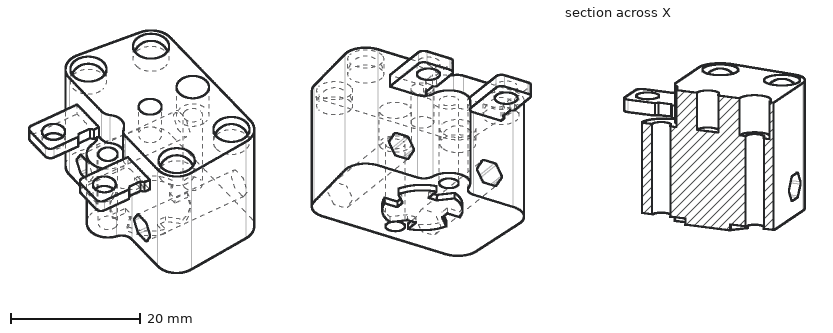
import cadquery as cq
import math


overall_width = 31.75
body_depth = 18.03
body_height = 20.7
corner_radius = 3.55
back_width = 29.52
front_corner_x = overall_width / 2 - corner_radius
back_corner_x = back_width / 2 - corner_radius
front_corner_y = corner_radius
back_corner_y = body_depth - corner_radius
corners = [
    (-front_corner_x, front_corner_y),
    (front_corner_x, front_corner_y),
    (back_corner_x, back_corner_y),
    (-back_corner_x, back_corner_y),
]

boss_top = 14.7
screw_hole_diameter = 3.0
counterbore_diameter = 5.0
front_screw_y = -1.0
back_screw_y = 14.75
boss_radius = 3.3
blend_radius = 1.9
counterbore_depth = body_height - boss_top

dome_radius = 5.6 / 2
dome_rise = 0.1

disc_y = 6.82
blind_hole_diameter = 3.55
blind_hole_depth = counterbore_depth
disc_radius = 6.22
disc_thickness = 0.98
notch_count = 4
notch_wall_x = -1.2
notch_floor_end = 0.32
notch_floor = 3.8

hex_x = 8.0
hex_z = 4.75
hex_flats = 4.03
hex_corner_radius = 0.38

tab_x = 7.08
tab_width = 6.13
tab_length = 9.35
tab_thickness = 2.03
tab_corner_radius = 0.95
tab_hole_diameter = 3.55
tab_hole_y = -6.4
tab_notch_depth = 0.5
tab_notch_start = -0.95
tab_notch_end = -3.87
tab_notch_slope = 0.4


def blended_round(radius, side):
    """Outline of a round about the front screw that flows into the front face on two blends.

    side is -1 for a round standing out of the body and +1 for one cut into it.
    """
    blend_y = side * blend_radius
    rise = blend_y - front_screw_y
    reach = radius + blend_radius
    blend_x = math.sqrt(reach**2 - rise**2)
    tangent_x = blend_x * radius / reach
    tangent_y = front_screw_y + rise * radius / reach
    return (
        cq.Workplane("XY")
        .moveTo(-blend_x, 0)
        .radiusArc((-tangent_x, tangent_y), -side * blend_radius)
        .threePointArc((0, front_screw_y + side * radius), (tangent_x, tangent_y))
        .radiusArc((blend_x, 0), -side * blend_radius)
        .close()
    )


def make_body():
    block = cq.Workplane("XY").polyline(corners).close().offset2D(corner_radius).extrude(body_height)
    boss = blended_round(boss_radius, -1).extrude(boss_top)
    recess = blended_round(counterbore_diameter / 2, 1).extrude(counterbore_depth)
    return block.union(boss).cut(recess.translate((0, 0, boss_top)))


def make_top_holes():
    screws = (
        cq.Workplane("XY")
        .pushPoints([(0, front_screw_y), (0, back_screw_y)])
        .circle(screw_hole_diameter / 2)
        .extrude(body_height)
    )
    counterbore = (
        cq.Workplane("XY", origin=(0, back_screw_y, body_height))
        .circle(counterbore_diameter / 2)
        .extrude(-counterbore_depth)
    )
    blind_hole = (
        cq.Workplane("XY", origin=(0, disc_y, body_height))
        .circle(blind_hole_diameter / 2)
        .extrude(-blind_hole_depth)
    )
    return screws.union(counterbore).union(blind_hole)


def make_dome_pockets():
    return (
        cq.Workplane("XY", origin=(0, 0, body_height))
        .pushPoints(corners)
        .circle(dome_radius)
        .extrude(dome_rise - dome_radius)
    )


def make_domes():
    dome = cq.Workplane("XY").sphere(dome_radius, angle1=0, angle2=90)
    base_z = body_height + dome_rise - dome_radius
    domes = cq.Workplane("XY")
    for x, y in corners:
        domes = domes.union(dome.translate((x, y, base_z)))
    return domes


def make_hex_holes():
    return (
        cq.Workplane("XZ", origin=(0, body_depth, 0))
        .pushPoints([(-hex_x, hex_z), (hex_x, hex_z)])
        .polygon(6, hex_flats * 2 / math.sqrt(3))
        .extrude(body_depth)
        .edges("|Y")
        .fillet(hex_corner_radius)
    )


def make_disc():
    disc = cq.Workplane("XY").circle(disc_radius).extrude(-disc_thickness)
    notch_depth = disc_radius - notch_floor
    notch = (
        cq.Workplane("XY")
        .moveTo(notch_wall_x, -notch_floor)
        .lineTo(notch_floor_end, -notch_floor)
        .lineTo(notch_floor_end + notch_depth, -disc_radius)
        .lineTo(notch_wall_x, -disc_radius)
        .close()
        .extrude(-disc_thickness)
    )
    for i in range(notch_count):
        disc = disc.cut(notch.rotate((0, 0, 0), (0, 0, 1), i * 360 / notch_count))
    return disc.translate((0, disc_y, 0))


def make_tab(center_x):
    right = tab_width / 2
    plate = (
        cq.Workplane("XY")
        .rect(tab_width, tab_length)
        .extrude(tab_thickness)
        .edges("|Z and <Y")
        .fillet(tab_corner_radius)
        .translate((0, -tab_length / 2, 0))
    )
    notch = (
        cq.Workplane("XY")
        .moveTo(right, tab_notch_start)
        .lineTo(right - tab_notch_depth, tab_notch_start - tab_notch_slope)
        .lineTo(right - tab_notch_depth, tab_notch_end + tab_notch_slope)
        .lineTo(right, tab_notch_end)
        .close()
        .extrude(tab_thickness)
    )
    hole = cq.Workplane("XY").center(0, tab_hole_y).circle(tab_hole_diameter / 2).extrude(tab_thickness)
    return plate.cut(notch).cut(hole).translate((center_x, 0, boss_top))


result = make_body().cut(make_top_holes()).cut(make_dome_pockets()).cut(make_hex_holes())
result = result.union(make_domes()).union(make_disc())
for x in (-tab_x, tab_x):
    result = result.union(make_tab(x))